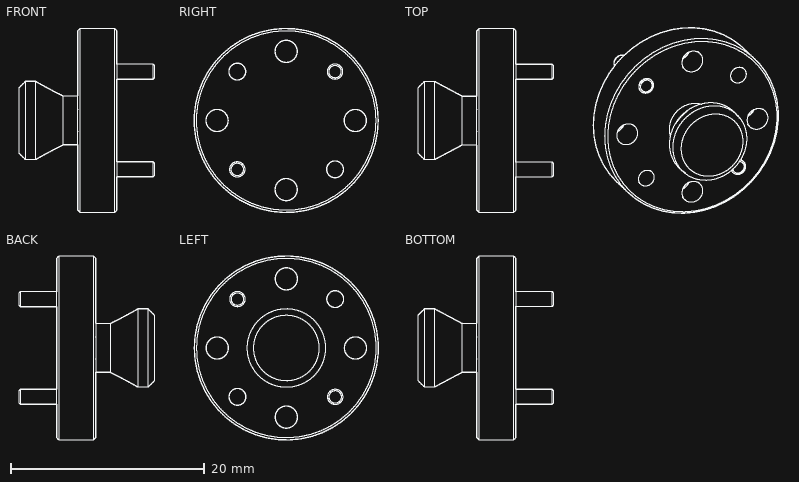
import cadquery as cq
import math

flange_diameter = 19.05
flange_thickness = 4.05
flange_chamfer = 0.25

knob_diameter = 8.12
knob_face_diameter = 6.78
knob_bevel_length = 0.69
knob_rim_end = 1.71
taper_end = 4.57
neck_diameter = 5.07
flange_front = 6.08

bolt_circle_radius = 7.15
large_hole_diameter = 2.27
small_hole_diameter = 1.71

pin_diameter = 1.58
pin_protrusion = 3.89
pin_chamfer = 0.15
pin_length = flange_thickness + pin_protrusion


def circle_positions(angles):
    """Return (Y, Z) points on the bolt circle, with angles measured from +Y."""
    return [
        (bolt_circle_radius * math.cos(math.radians(a)), bolt_circle_radius * math.sin(math.radians(a)))
        for a in angles
    ]


large_hole_positions = circle_positions([0, 90, 180, 270])
small_hole_positions = circle_positions([135, 315])
pin_positions = circle_positions([45, 225])


def make_knob():
    """Bevelled knob tapering to a neck, revolved about X."""
    return (
        cq.Workplane("XY")
        .moveTo(0, 0)
        .lineTo(0, knob_face_diameter / 2)
        .lineTo(knob_bevel_length, knob_diameter / 2)
        .lineTo(knob_rim_end, knob_diameter / 2)
        .lineTo(taper_end, neck_diameter / 2)
        .lineTo(flange_front, neck_diameter / 2)
        .lineTo(flange_front, 0)
        .close()
        .revolve(360, (0, 0, 0), (1, 0, 0))
    )


def make_flange():
    """Round plate with both rims chamfered."""
    return (
        cq.Workplane("YZ", origin=(flange_front, 0, 0))
        .circle(flange_diameter / 2)
        .extrude(flange_thickness)
        .edges()
        .chamfer(flange_chamfer)
    )


def make_hole_cutters(positions, diameter):
    """Cylinders spanning the full flange thickness."""
    return (
        cq.Workplane("YZ", origin=(flange_front, 0, 0))
        .pushPoints(positions)
        .circle(diameter / 2)
        .extrude(flange_thickness)
    )


def make_body():
    """Flange and knob in one piece, with through holes and pin bores."""
    body = make_flange().union(make_knob())
    body = body.cut(make_hole_cutters(large_hole_positions, large_hole_diameter))
    body = body.cut(make_hole_cutters(small_hole_positions, small_hole_diameter))
    return body.cut(make_hole_cutters(pin_positions, pin_diameter))


def make_pin(y, z):
    """Dowel pin, flush with the flange front and chamfered at both ends."""
    return (
        cq.Workplane("YZ", origin=(flange_front, y, z))
        .circle(pin_diameter / 2)
        .extrude(pin_length)
        .edges("%CIRCLE")
        .chamfer(pin_chamfer)
    )


body = make_body()
pins = [make_pin(y, z) for y, z in pin_positions]

result = cq.Compound.makeCompound([body.val(), *[pin.val() for pin in pins]])